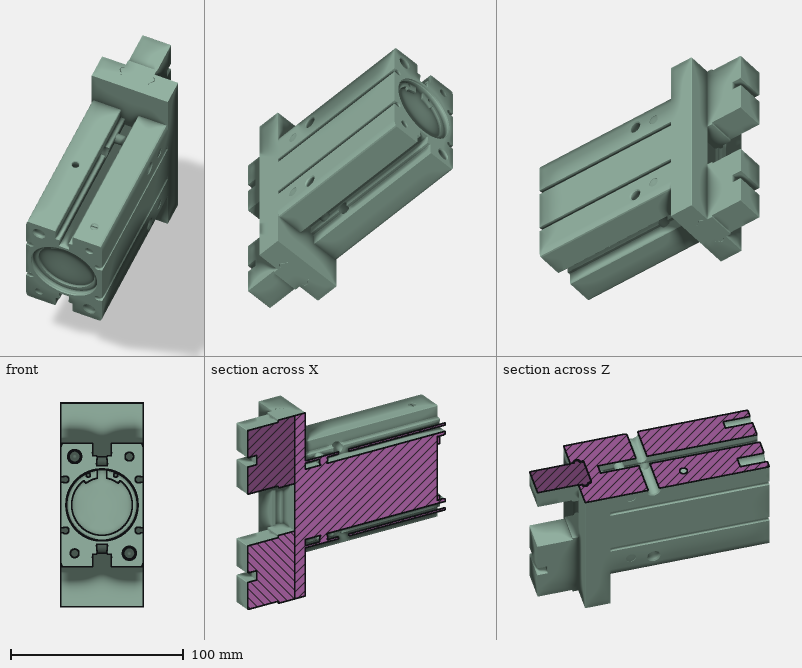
import cadquery as cq
import math


WIDTH = 48.0
HALF_WIDTH = WIDTH / 2
BARREL_HEIGHT = 71.6
BARREL_TOP = BARREL_HEIGHT / 2
BARREL_LENGTH = 95.5
GUIDE_HEIGHT = 118.0
GUIDE_THICKNESS = 15.1
GUIDE_CHAMFER = 0.3
GUIDE_END = BARREL_LENGTH + GUIDE_THICKNESS

SIDE_ARC_START = 31.5
SIDE_ARC_RADIUS = 10.0
BEVEL_DROP = 0.3
BEVEL_INSET = 1.8

SLOT_WIDTH = 10.8
SLOT_FLOOR = 28.4
NECK_WIDTH = 5.7
NECK_FLOOR = 26.4
FOOT_WIDTH = 6.4
FOOT_FLOOR = 22.7
SLOT_CHAMFER = 0.4

GROOVE_DIAMETER = 3.9
GROOVE_MOUTH = 3.0
GROOVE_DEPTH_TO_CENTRE = 2.8
GROOVE_HEIGHT = 14.7

PIN_DIAMETER = 6.0
PIN_Y = BARREL_LENGTH - 12.5
PIN_HEIGHT = 24.9
PIN_RECESS = 0.3
MOUNT_HOLE_DIAMETER = 6.6
MOUNT_HOLE_Y = BARREL_LENGTH - 26.1
MOUNT_HOLE_HEIGHT = 27.0
MOUNT_CHAMFER = 0.7

END_HOLE_X = 15.8
END_HOLE_HEIGHT = 28.0
END_HOLE_DEPTH = 16.2
SMALL_END_HOLE_DIAMETER = 5.0

PORT_DIAMETER = 4.2
PORT_CHAMFER = 0.4
PORT_X = 13.9
PORT_DEPTH = 8.1
PORT_Y = 48.9
PLUG_Y = 12.0
PLUG_RECESS = PORT_CHAMFER
PLUG_SLOT_WIDTH = 1.0
PLUG_SLOT_DEPTH = 0.8

BORE_DIAMETER = 41.0
BORE_MOUTH_DEPTH = 1.0
BORE_CHAMFER = 0.4
RING_SETBACK = 3.5
RING_THICKNESS = 1.8
BORE_DEPTH = RING_SETBACK + RING_THICKNESS
RING_INNER_RADIUS = 17.6
RING_EAR_RADIUS = 15.7
RING_EAR_ANGLE = 36.7
RING_GAP = 5.7
RING_HOLE_DIAMETER = 2.5
RING_HOLE_X = 8.0
RING_HOLE_Z = 17.3

FINGER_WIDTH = 18.0
FINGER_TIP = 135.2
FINGER_SHOULDER = 114.0
SHOULDER_CHAMFER = 0.3
RAIL_FLOOR = 102.8
RAIL_CORNER_CHAMFER = 0.8
RAIL_LENGTH = 43.9
RAIL_END_STEP = 1.4
BEAD_DIAMETER = 3.2
BEAD_GROOVE_DIAMETER = 3.9
TIP_CHAMFER = 0.34
BEAD_Y = 106.6
NOTCH_WIDTH = 5.7
NOTCH_DEPTH = 6.2
NOTCH_CHAMFER = 0.4


def box(x_range, y_range, z_range):
    """Box between the given limits along each axis."""
    size = [high - low for low, high in (x_range, y_range, z_range)]
    corner = cq.Vector(x_range[0], y_range[0], z_range[0])
    return cq.Workplane(cq.Solid.makeBox(*size, corner))


def cylinder(diameter, length, start, direction):
    """Cylinder from a start point along a direction."""
    return cq.Workplane(cq.Solid.makeCylinder(diameter / 2, length, cq.Vector(*start), cq.Vector(*direction)))


def chamfer_cone(diameter, chamfer, start, direction):
    """45 degree countersink at the mouth of a hole."""
    radius = diameter / 2
    return cq.Workplane(
        cq.Solid.makeCone(radius + chamfer, radius, chamfer, cq.Vector(*start), cq.Vector(*direction))
    )


def chamfered_hole(diameter, chamfer, depth, start, direction):
    """Hole with a countersunk mouth."""
    return cylinder(diameter, depth, start, direction).union(
        chamfer_cone(diameter, chamfer, start, direction)
    )


def barrel_block():
    """Barrel with its four long edges rounded."""
    arc_top = BARREL_TOP - BEVEL_DROP
    arc_centre_x = HALF_WIDTH - SIDE_ARC_RADIUS

    def on_arc(height):
        rise = height - SIDE_ARC_START
        return arc_centre_x + math.sqrt(SIDE_ARC_RADIUS**2 - rise**2), height

    quarter = (
        cq.Workplane("XZ")
        .lineTo(HALF_WIDTH, 0)
        .lineTo(HALF_WIDTH, SIDE_ARC_START)
        .threePointArc(on_arc((SIDE_ARC_START + arc_top) / 2), on_arc(arc_top))
        .lineTo(HALF_WIDTH - BEVEL_INSET, BARREL_TOP)
        .lineTo(0, BARREL_TOP)
        .close()
        .extrude(-BARREL_LENGTH)
    )
    half = quarter.union(quarter.mirror("YZ"))
    return half.union(half.mirror("XY")).clean()


def t_slots():
    """Stepped slots along the top and bottom, with broken edges and corners."""
    slot_half = SLOT_WIDTH / 2
    neck_half = NECK_WIDTH / 2
    foot_half = FOOT_WIDTH / 2
    right_side = [
        (slot_half + SLOT_CHAMFER, BARREL_TOP),
        (slot_half, BARREL_TOP - SLOT_CHAMFER),
        (slot_half, SLOT_FLOOR + SLOT_CHAMFER),
        (slot_half - SLOT_CHAMFER, SLOT_FLOOR),
        (neck_half + SLOT_CHAMFER, SLOT_FLOOR),
        (neck_half, SLOT_FLOOR - SLOT_CHAMFER),
        (neck_half, NECK_FLOOR),
        (foot_half, NECK_FLOOR),
        (foot_half, FOOT_FLOOR),
    ]
    left_side = [(-x, z) for x, z in reversed(right_side)]
    slot = cq.Workplane("XZ").polyline(right_side + left_side).close().extrude(-BARREL_LENGTH)
    return slot.union(slot.mirror("XY"))


def sensor_grooves():
    """Keyhole grooves, two on each side."""
    cuts = cq.Workplane()
    centre_x = HALF_WIDTH - GROOVE_DEPTH_TO_CENTRE
    for side in (-1, 1):
        for height in (-GROOVE_HEIGHT, GROOVE_HEIGHT):
            x_range = sorted((side * centre_x, side * HALF_WIDTH))
            z_range = (height - GROOVE_MOUTH / 2, height + GROOVE_MOUTH / 2)
            cuts = cuts.add(box(x_range, (0, BARREL_LENGTH), z_range))
            cuts = cuts.add(cylinder(GROOVE_DIAMETER, BARREL_LENGTH, (side * centre_x, 0, height), (0, 1, 0)))
    return cuts.combine()


def mounting_holes():
    """Two holes across the barrel, countersunk at both ends."""
    cuts = cq.Workplane()
    for height in (-MOUNT_HOLE_HEIGHT, MOUNT_HOLE_HEIGHT):
        for side in (-1, 1):
            start = (side * HALF_WIDTH, MOUNT_HOLE_Y, height)
            cuts = cuts.add(
                chamfered_hole(MOUNT_HOLE_DIAMETER, MOUNT_CHAMFER, HALF_WIDTH, start, (-side, 0, 0))
            )
    return cuts.combine()


def pin_recesses():
    """Shallow recesses at the ends of the cross pins."""
    cuts = cq.Workplane()
    for height in (-PIN_HEIGHT, PIN_HEIGHT):
        for side in (-1, 1):
            start = (side * HALF_WIDTH, PIN_Y, height)
            cuts = cuts.add(cylinder(PIN_DIAMETER, PIN_RECESS, start, (-side, 0, 0)))
    return cuts.combine()


def cross_pins():
    """Fixed pins that bridge the T-slots."""
    pins = cq.Workplane()
    for height in (-PIN_HEIGHT, PIN_HEIGHT):
        start = (-SLOT_WIDTH / 2, PIN_Y, height)
        pins = pins.add(cylinder(PIN_DIAMETER, SLOT_WIDTH, start, (1, 0, 0)))
    return pins.combine()


def end_holes():
    """Blind holes in the cylinder end, large and small on opposite diagonals."""
    cuts = cq.Workplane()
    for side in (-1, 1):
        large = (side * END_HOLE_X, 0, -side * END_HOLE_HEIGHT)
        small = (side * END_HOLE_X, 0, side * END_HOLE_HEIGHT)
        cuts = cuts.add(chamfered_hole(MOUNT_HOLE_DIAMETER, MOUNT_CHAMFER, END_HOLE_DEPTH, large, (0, 1, 0)))
        cuts = cuts.add(cylinder(SMALL_END_HOLE_DIAMETER, END_HOLE_DEPTH, small, (0, 1, 0)))
    return cuts.combine()


def ports():
    """Open air port, and a port closed by a plug with a screwdriver slot."""
    down = (0, 0, -1)
    open_port = chamfered_hole(PORT_DIAMETER, PORT_CHAMFER, PORT_DEPTH, (-PORT_X, PORT_Y, BARREL_TOP), down)
    plug_mouth = chamfered_hole(PORT_DIAMETER, PORT_CHAMFER, PLUG_RECESS, (PORT_X, PLUG_Y, BARREL_TOP), down)
    plug_top = BARREL_TOP - PLUG_RECESS
    plug_slot = box(
        (PORT_X - PORT_DIAMETER / 2, PORT_X + PORT_DIAMETER / 2),
        (PLUG_Y - PLUG_SLOT_WIDTH / 2, PLUG_Y + PLUG_SLOT_WIDTH / 2),
        (plug_top - PLUG_SLOT_DEPTH, plug_top),
    ).intersect(cylinder(PORT_DIAMETER, BARREL_TOP, (PORT_X, PLUG_Y, 0), (0, 0, 1)))
    return open_port.union(plug_mouth).union(plug_slot)


def bore():
    """Bore with a slightly wider mouth that tapers into it."""
    inward = (0, 1, 0)
    mouth = cylinder(BORE_DIAMETER + 2 * BORE_CHAMFER, BORE_MOUTH_DEPTH, (0, 0, 0), inward)
    taper = chamfer_cone(BORE_DIAMETER, BORE_CHAMFER, (0, BORE_MOUTH_DEPTH, 0), inward)
    return cylinder(BORE_DIAMETER, BORE_DEPTH, (0, 0, 0), inward).union(mouth).union(taper)


def finger_section(start_z, length, bead_diameter):
    """Finger rail with a round bead along each side, extruded along Z."""
    rail = box((-FINGER_WIDTH / 2, FINGER_WIDTH / 2), (RAIL_FLOOR, FINGER_SHOULDER), (start_z, start_z + length))
    for side in (-1, 1):
        start = (side * FINGER_WIDTH / 2, BEAD_Y, start_z)
        rail = rail.union(cylinder(bead_diameter, length, start, (0, 0, 1)))
    return rail


def make_housing():
    """Barrel and finger guide in one piece, with the channel for the fingers."""
    guide = box((-HALF_WIDTH, HALF_WIDTH), (BARREL_LENGTH, GUIDE_END), (-GUIDE_HEIGHT / 2, GUIDE_HEIGHT / 2))
    guide = guide.faces(">Y").edges("|Z").chamfer(GUIDE_CHAMFER)
    barrel = barrel_block().cut(t_slots()).cut(sensor_grooves()).cut(mounting_holes())
    barrel = barrel.union(cross_pins()).cut(pin_recesses())
    barrel = barrel.cut(end_holes()).cut(ports()).cut(bore())
    return barrel.union(guide).cut(finger_section(-GUIDE_HEIGHT / 2, GUIDE_HEIGHT, BEAD_GROOVE_DIAMETER))


def make_retaining_ring():
    """Snap ring with two eared ends, resting on the floor of the bore."""
    ear_x = math.sin(math.radians(RING_EAR_ANGLE))
    ear_z = math.cos(math.radians(RING_EAR_ANGLE))
    reach = BORE_DIAMETER
    ear_wedge = (
        cq.Workplane("XZ")
        .polyline([(0, 0), (-reach * ear_x, reach * ear_z), (reach * ear_x, reach * ear_z)])
        .close()
        .extrude(-RING_THICKNESS)
    )
    disc = cq.Workplane("XZ").circle(BORE_DIAMETER / 2).extrude(-RING_THICKNESS)
    thin_ring = disc.cut(cylinder(2 * RING_INNER_RADIUS, RING_THICKNESS, (0, 0, 0), (0, 1, 0)))
    ears = disc.intersect(ear_wedge).cut(cylinder(2 * RING_EAR_RADIUS, RING_THICKNESS, (0, 0, 0), (0, 1, 0)))
    ring = thin_ring.union(ears)
    ring = ring.cut(box((-RING_GAP / 2, RING_GAP / 2), (0, RING_THICKNESS), (0, BORE_DIAMETER)))
    for x in (-RING_HOLE_X, RING_HOLE_X):
        ring = ring.cut(cylinder(RING_HOLE_DIAMETER, RING_THICKNESS, (x, 0, RING_HOLE_Z), (0, 1, 0)))
    return ring.translate((0, RING_SETBACK, 0))


def make_finger():
    """Upper finger: guided rail and a notched block."""
    top = GUIDE_HEIGHT / 2
    middle = top - RAIL_LENGTH / 2
    block = box(
        (-FINGER_WIDTH / 2, FINGER_WIDTH / 2),
        (FINGER_SHOULDER - SHOULDER_CHAMFER, FINGER_TIP),
        (top - RAIL_LENGTH + RAIL_END_STEP, top - RAIL_END_STEP),
    )
    notch_top = middle + NOTCH_WIDTH / 2
    notch = (
        cq.Workplane("YZ", origin=(-FINGER_WIDTH / 2, 0, 0))
        .moveTo(FINGER_TIP, middle - NOTCH_WIDTH / 2)
        .lineTo(FINGER_TIP - NOTCH_DEPTH, middle - NOTCH_WIDTH / 2)
        .lineTo(FINGER_TIP - NOTCH_DEPTH, notch_top)
        .lineTo(FINGER_TIP - NOTCH_CHAMFER, notch_top)
        .lineTo(FINGER_TIP, notch_top + NOTCH_CHAMFER)
        .close()
        .extrude(FINGER_WIDTH)
    )
    block = block.faces(">Y").edges("|X").chamfer(TIP_CHAMFER)
    rail = finger_section(top - RAIL_LENGTH, RAIL_LENGTH, BEAD_DIAMETER)
    rail = rail.faces("<Y").edges("|Z").chamfer(RAIL_CORNER_CHAMFER)
    rail = rail.faces(">Y").edges("|Z").chamfer(SHOULDER_CHAMFER)
    return rail.union(block).cut(notch)


housing = make_housing()
retaining_ring = make_retaining_ring()
upper_finger = make_finger()
fingers = [upper_finger, upper_finger.mirror("XY")]

result = cq.Compound.makeCompound(
    [housing.val(), retaining_ring.val(), *[finger.val() for finger in fingers]]
)